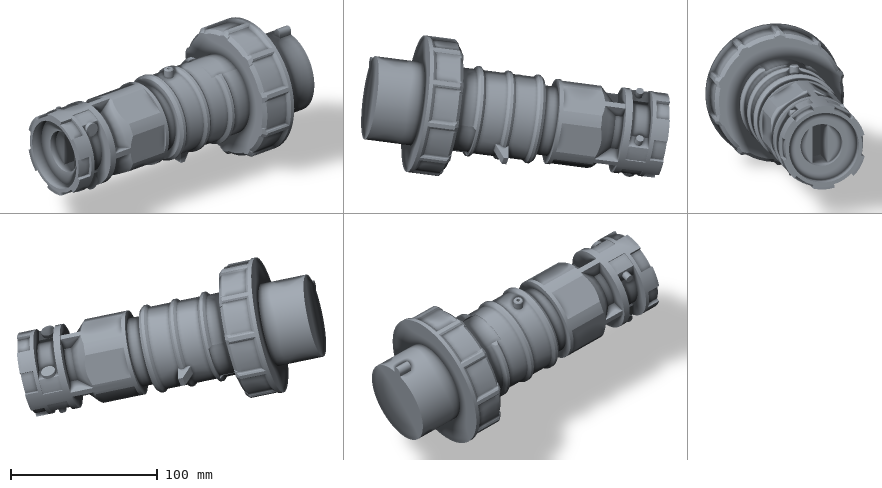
import cadquery as cq
import math

LENGTH = 203.2

BODY_R = 28.7
NECK_R = 23.8
NECK_END = 86.5
BAND_LENGTH = 6.0
BAND_CREST = 2.0
FRONT_BAND_Y = 131.3
FRONT_BAND_R = 31.0
FRONT_BAND_TOP = 25.6
MIDDLE_BAND_Y = 110.4
MIDDLE_BAND_R = 30.5
REAR_BAND_R = 30.5
REAR_BAND_Y = NECK_END + BAND_LENGTH / 2
PATCH_R = 28.2
PATCH_WIDTH = 28.9
UPPER_PATCH_END = 125.4
LOWER_PATCH_END = 131.9
KEY_R = 3.0
KEY_TOP = 34.1
KEY_LENGTH = 9.5
CATCH_WIDTH = 7.0
CATCH_BOTTOM = -39.2
CATCH_REAR = 107.3
CATCH_TIP = 3.3
CATCH_FOOT = 9.0

LOCK_Y = 99.4
LOCK_R = 3.3
LOCK_TOP = 34.5
LOCK_SEAT = 25.6
LOCK_CHAMFER = 0.6
SOCKET_R = 1.2
SOCKET_DEPTH = 3.0

RING_DIAMETER = 94.0
RING_R = RING_DIAMETER / 2
RING_FRONT = 171.3
RING_REAR = 147.1
RING_FLANGE = 2.6
RIB_HEIGHT = 2.0
GRIP_R = RING_R - RIB_HEIGHT
GRIP_BEVEL = 2.5
RIB_COUNT = 10
RIB_TOP_HALF = 1.5
RIB_WALL_HALF = 2.5
RIB_FOOT_HALF = 3.9
RIB_ROOF_ANGLE = 20.0

GLAND_R = 29.3
GLAND_FRONT = 76.8
COLLAR_REAR = 74.2
FLAT_APOTHEM = 27.2
FLAT_COUNT = 6
WAIST_R = 18.0
WAIST_FRONT = 35.8
WAIST_REAR = 30.7
WEB_THICKNESS = 4.0
TOOL_OVERLAP = 2.0
CLAMP_FRONT = 26.0
CLAMP_REAR = 12.0
CLAMP_CORE_R = 19.5
CLAMP_PAD_R = 28.7
CLAMP_PAD_WIDTH = 29.9
CLAMP_PAD_Z = 15.2
CLAMP_SPINE_WIDTH = 10.2
NOTCH_COUNT = 6
NOTCH_LENGTH = 9.3
NOTCH_FLOOR_R = 26.8
NOTCH_ANGLE = 30.0
MOUTH_R = 24.4
MOUTH_DEPTH = 8.1
BORE_R = 14.6
BORE_DEPTH = 4.9
SLOT_WIDTH = 10.5
SLOT_DEPTH = 24.4

SCREW_Y = 19.1
SCREW_Z = 20.3
SCREW_R = 2.6
SCREW_TIP_X = -20.1
SCREW_HEAD_R = 4.9
SCREW_HEAD_HEIGHT = 2.6


def turned(points):
    """Solid of revolution about Y from (radius, y) points."""
    return cq.Workplane("XY").polyline(points).close().revolve(360, (0, 0), (0, 1))


def rod(radius, rear, front):
    """Cylinder on the Y axis."""
    return cq.Workplane("XZ", origin=(0, front, 0)).circle(radius).extrude(front - rear)


def block(x_size, y_range, z_range):
    """Box centred on x = 0 that spans the given y and z ranges."""
    return cq.Workplane("XY").box(
        x_size, y_range[1] - y_range[0], z_range[1] - z_range[0], centered=(True, False, False)
    ).translate((0, y_range[0], z_range[0]))


def spun(shape, count, start=0.0):
    """Copies of a shape spaced evenly about Y, as a list."""
    return [shape.rotate((0, 0, 0), (0, 1, 0), start + 360 / count * i) for i in range(count)]


def z_rod(radius, bottom, top):
    """Vertical cylinder at the lock screw."""
    return cq.Workplane("XY", origin=(0, LOCK_Y, bottom)).circle(radius).extrude(top - bottom)


def x_rod(radius, left, right, z):
    """Cylinder along X at the height of a clamp screw."""
    return cq.Workplane("YZ", origin=(left, SCREW_Y, z)).circle(radius).extrude(right - left)


def band(y, crest_r):
    foot = BAND_LENGTH / 2
    crest = BAND_CREST / 2
    return turned([(0, y - foot), (BODY_R, y - foot), (crest_r, y - crest),
                   (crest_r, y + crest), (BODY_R, y + foot), (0, y + foot)])


def front_band():
    """Foremost band, with its top cut off flat."""
    y_range = (FRONT_BAND_Y - BAND_LENGTH, FRONT_BAND_Y + BAND_LENGTH)
    return band(FRONT_BAND_Y, FRONT_BAND_R).cut(block(2 * RING_R, y_range, (FRONT_BAND_TOP, RING_R)))


def label_patch(end, z_range):
    patch = block(PATCH_WIDTH, (end, RING_REAR), z_range)
    return patch.cut(rod(PATCH_R, end, RING_REAR))


def key():
    y_range = (LENGTH - KEY_LENGTH, LENGTH)
    centre_z = KEY_TOP - KEY_R
    crown = rod(KEY_R, *y_range).translate((0, 0, centre_z))
    return crown.union(block(2 * KEY_R, y_range, (NECK_R, centre_z)))


def catch():
    outline = [(CATCH_REAR, -NECK_R), (CATCH_REAR, CATCH_BOTTOM), (CATCH_REAR + CATCH_TIP, CATCH_BOTTOM),
               (CATCH_REAR + CATCH_FOOT, -BODY_R), (CATCH_REAR + CATCH_FOOT, -NECK_R)]
    return cq.Workplane("YZ").polyline(outline).close().extrude(CATCH_WIDTH / 2, both=True)


def make_housing():
    housing = rod(BODY_R, NECK_END, LENGTH).union(rod(NECK_R, GLAND_FRONT, NECK_END))
    housing = housing.union(front_band())
    housing = housing.union(band(MIDDLE_BAND_Y, MIDDLE_BAND_R))
    housing = housing.union(band(REAR_BAND_Y, REAR_BAND_R))
    housing = housing.cut(label_patch(UPPER_PATCH_END, (0, RING_R)))
    housing = housing.cut(label_patch(LOWER_PATCH_END, (-RING_R, 0)))
    housing = housing.union(key()).union(catch())
    return housing.cut(z_rod(LOCK_R, LOCK_SEAT, LOCK_TOP))


def make_lock_screw():
    screw = z_rod(LOCK_R, LOCK_SEAT, LOCK_TOP).faces(">Z").chamfer(LOCK_CHAMFER)
    return screw.cut(z_rod(SOCKET_R, LOCK_TOP - SOCKET_DEPTH, LOCK_TOP))


def grip_rib():
    """Rib at the top of the ring, its feet blended into the grip by concave arcs."""
    arc_x = RIB_FOOT_HALF - (RIB_FOOT_HALF - RIB_WALL_HALF) * math.sin(math.pi / 4)
    foot_z = math.sqrt(GRIP_R**2 - RIB_FOOT_HALF**2)
    top_z = math.sqrt(RING_R**2 - RIB_TOP_HALF**2)
    root_z = GRIP_R - 2 * GRIP_BEVEL
    wall_z = GRIP_R + RIB_HEIGHT / 2
    arc_z = wall_z - (wall_z - foot_z) * math.sin(math.pi / 4)
    front = RING_FRONT - RING_FLANGE
    return (
        cq.Workplane("XZ", origin=(0, front, 0))
        .moveTo(-RIB_FOOT_HALF, root_z)
        .lineTo(-RIB_FOOT_HALF, foot_z)
        .threePointArc((-arc_x, arc_z), (-RIB_WALL_HALF, wall_z))
        .lineTo(-RIB_TOP_HALF, top_z)
        .threePointArc((0, RING_R), (RIB_TOP_HALF, top_z))
        .lineTo(RIB_WALL_HALF, wall_z)
        .threePointArc((arc_x, arc_z), (RIB_FOOT_HALF, foot_z))
        .lineTo(RIB_FOOT_HALF, root_z)
        .close()
        .extrude(front - RING_REAR)
    )


def beveled_rib():
    """Rib whose rear end slopes back at 45 degrees under a shallow roof that falls to both sides."""
    rib = grip_rib()
    fall = math.tan(math.radians(RIB_ROOF_ANGLE))
    ridge_end = (0, RING_REAR, RING_R - GRIP_BEVEL)
    for side in (-1, 1):
        roof = cq.Plane(origin=ridge_end, xDir=(0, 1, 1), normal=(side * fall, -1, 1))
        rib = rib.cut(cq.Workplane(roof).rect(RING_R, RING_R).extrude(RING_R))
    return rib


def make_ring():
    flange_rear = RING_FRONT - RING_FLANGE
    bevel_y = RING_REAR + GRIP_BEVEL
    ring = turned([(0, RING_REAR), (GRIP_R - GRIP_BEVEL, RING_REAR), (GRIP_R, bevel_y),
                   (GRIP_R, flange_rear - GRIP_BEVEL), (RING_R, flange_rear),
                   (RING_R, RING_FRONT), (0, RING_FRONT)])
    for rib in spun(beveled_rib(), RIB_COUNT):
        ring = ring.union(rib)
    return ring.cut(housing)


def gland_barrel():
    """Six-sided barrel, cut back behind a cone to four webs on a thin waist."""
    barrel = rod(GLAND_R, WAIST_REAR, GLAND_FRONT)
    flat_tool = block(2 * GLAND_R, (WAIST_REAR, COLLAR_REAR), (FLAT_APOTHEM, 2 * GLAND_R))
    for tool in spun(flat_tool, FLAT_COUNT, 360 / FLAT_COUNT / 2):
        barrel = barrel.cut(tool)
    outer = GLAND_R + TOOL_OVERLAP
    groove = turned([(WAIST_R, WAIST_REAR), (outer, WAIST_REAR), (outer, WAIST_FRONT + outer - WAIST_R),
                     (WAIST_R, WAIST_FRONT)])
    web = block(WEB_THICKNESS, (WAIST_REAR, GLAND_FRONT), (-outer, outer))
    for tool in (web, web.rotate((0, 0, 0), (0, 1, 0), 90)):
        groove = groove.cut(tool)
    return barrel.cut(groove)


def clamp():
    y_range = (CLAMP_REAR, CLAMP_FRONT)
    core = rod(CLAMP_CORE_R, *y_range)
    for z_range in ((CLAMP_PAD_Z, GLAND_R), (-GLAND_R, -CLAMP_PAD_Z)):
        pad = block(CLAMP_PAD_WIDTH, y_range, z_range).intersect(rod(CLAMP_PAD_R, *y_range))
        spine = block(CLAMP_SPINE_WIDTH, y_range, z_range).intersect(rod(GLAND_R, *y_range))
        core = core.union(pad).union(spine)
    return core


def notch():
    """Sector of the end cap's rim, centred on +X."""
    half = math.radians(NOTCH_ANGLE / 2)
    reach = 2 * GLAND_R
    x = reach * math.cos(half)
    z = reach * math.sin(half)
    sector = (
        cq.Workplane("XZ", origin=(0, NOTCH_LENGTH, 0))
        .polyline([(0, 0), (x, z), (x, -z)])
        .close()
        .extrude(NOTCH_LENGTH)
    )
    return sector.cut(rod(NOTCH_FLOOR_R, 0, NOTCH_LENGTH))


def cable_entry():
    bore_end = MOUTH_DEPTH + BORE_DEPTH
    slot_end = bore_end + SLOT_DEPTH
    slot = block(SLOT_WIDTH, (0, slot_end), (-BORE_R, BORE_R)).intersect(rod(BORE_R, 0, slot_end))
    return rod(MOUTH_R, 0, MOUTH_DEPTH).union(rod(BORE_R, 0, bore_end)).union(slot)


def make_gland():
    gland = gland_barrel().union(rod(GLAND_R, CLAMP_FRONT, WAIST_REAR))
    gland = gland.union(clamp()).union(rod(GLAND_R, 0, CLAMP_REAR))
    for tool in spun(notch(), NOTCH_COUNT):
        gland = gland.cut(tool)
    return gland.cut(cable_entry())


def make_clamp_screw(z):
    seat_x = CLAMP_PAD_WIDTH / 2
    shank = x_rod(SCREW_R, SCREW_TIP_X, seat_x, z)
    return shank.union(x_rod(SCREW_HEAD_R, seat_x, seat_x + SCREW_HEAD_HEIGHT, z))


housing = make_housing()
lock_screw = make_lock_screw()
ring = make_ring()
gland = make_gland()
clamp_screws = [make_clamp_screw(z) for z in (SCREW_Z, -SCREW_Z)]
for screw in clamp_screws:
    gland = gland.cut(screw)

result = cq.Compound.makeCompound(
    [housing.val(), lock_screw.val(), ring.val(), gland.val(), *[screw.val() for screw in clamp_screws]]
)